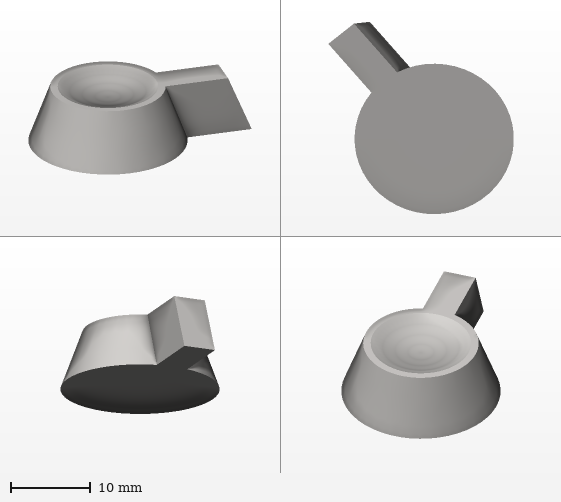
import cadquery as cq

base_diameter = 20.0
top_diameter = 14.5
height = 7.5

dish_diameter = 12.62
dish_depth = 1.5

arm_width = 4.2
arm_reach_bottom = 18.22
arm_end_setback = 3.1
arm_reach_top = arm_reach_bottom - arm_end_setback


def make_body():
    """Cone frustum standing on the XY plane."""
    return cq.Workplane("XY").add(
        cq.Solid.makeCone(base_diameter / 2, top_diameter / 2, height)
    )


def make_arm():
    """Full-height arm from the body's axis to its sloped outer end."""
    return (
        cq.Workplane("YZ")
        .polyline([(0, 0), (arm_reach_bottom, 0), (arm_reach_top, height), (0, height)])
        .close()
        .extrude(arm_width / 2, both=True)
    )


def make_dish():
    """Sphere whose cap gives the dish its diameter and depth at the top face."""
    dish_radius = dish_diameter / 2
    sphere_radius = (dish_radius**2 + dish_depth**2) / (2 * dish_depth)
    sphere_centre_z = height - dish_depth + sphere_radius
    return cq.Workplane("XY").sphere(sphere_radius).translate((0, 0, sphere_centre_z))


result = make_body().union(make_arm()).cut(make_dish())